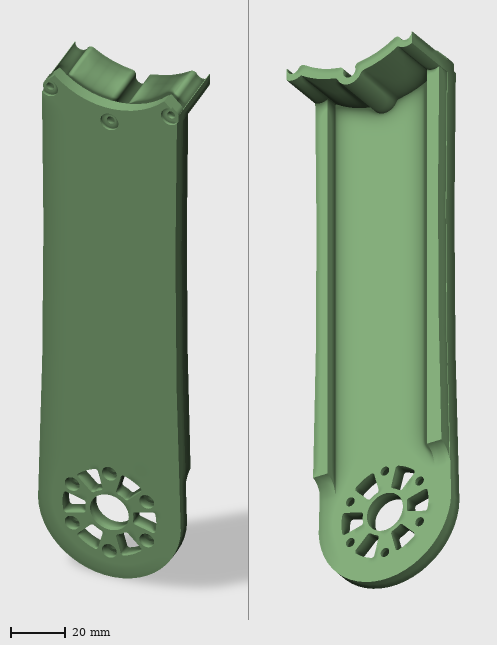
import cadquery as cq
import math

HUB_RADIUS = 28.5
LENGTH = 217.4
DEPTH = 31.0
PLATE_THICKNESS = 5.9
RIB_BACK = 11.3
PEAK_Z = LENGTH - HUB_RADIUS

SIDE_START_Z = 2.5
SIDE_START_X = math.sqrt(HUB_RADIUS**2 - SIDE_START_Z**2)
WAIST_X = 26.3
WAIST_Z = 113.0
SIDE_TOP_X = 27.0
SIDE_TOP_Z = 182.8

CORNER_SCREW_X = 24.1
CORNER_SCREW_Z = 182.5
MIDDLE_SCREW_Z = 173.9
CORNER_RADIUS = SIDE_TOP_X - CORNER_SCREW_X
SHOULDER_OFFSET = CORNER_RADIUS * math.sqrt(0.5)
SHOULDER_X = CORNER_SCREW_X + SHOULDER_OFFSET
SHOULDER_Z = CORNER_SCREW_Z + SHOULDER_OFFSET
SHOULDER_APEX_Z = SHOULDER_X + SHOULDER_Z
SCREW_DIAMETER = 3.0
SCREW_HEAD_DIAMETER = 7.2
SCREW_HEAD_DEPTH = 1.3

SADDLE_Z = 210.8
PLATE_ARC_RADIUS = math.hypot(SHOULDER_APEX_Z - PEAK_Z, SADDLE_Z - PEAK_Z)
STEP_HEIGHT = 0.7
STEP_Y = 4.5
SEAT_RADIUS = 34.5
SADDLE_OUTER_RADIUS = 38.7
SCREW_BOSS_RADIUS = 5.5
BOSS_FILLET = 2.2
CHANNEL_RADIUS = 2.5
LIP_RADIUS = 1.7

RIB_WIDTH = 5.0
RIB_INSET = 0.2
RIB_TOP_Z = 178.2
RUN_OUT_RADIUS = 7.0
RUN_OUT_Z = 13.0

HUB_BORE_DIAMETER = 15.5
HUB_HOLE_COUNT = 6
HUB_HOLE_CIRCLE_RADIUS = 17.2
HUB_HOLE_DIAMETER = 3.7
HUB_HEAD_DIAMETER = 5.9
HUB_HEAD_DEPTH = 4.1
WINDOW_INNER_RADIUS = 9.5
WINDOW_OUTER_RADIUS = 18.7
WINDOW_HALF_ANGLE = 15.0
WINDOW_FILLET = 1.0

TOP_SCREWS = [
    (-CORNER_SCREW_X, CORNER_SCREW_Z),
    (0, MIDDLE_SCREW_Z),
    (CORNER_SCREW_X, CORNER_SCREW_Z),
]


def plane_at(y):
    """XZ plane at depth y, facing -Y; negative extrusions from it run toward +Y."""
    return cq.Workplane(cq.Plane(origin=(0, y, 0), xDir=(1, 0, 0), normal=(0, -1, 0)))


def cylinder(x, z, radius, y_start, y_end):
    return plane_at(y_start).center(x, z).circle(radius).extrude(y_start - y_end)


def block(x_start, x_end, y_start, y_end, z_start, z_end):
    size = (x_end - x_start, y_end - y_start, z_end - z_start)
    return cq.Workplane("XY").box(*size, centered=False).translate((x_start, y_start, z_start))


def arm_outline(y_start, y_end, side_inset=0):
    """Arm silhouette: round hub, waisted sides and a flat top at the corner screws."""
    hub_x = SIDE_START_X - side_inset
    waist_x = WAIST_X - side_inset
    top_x = SIDE_TOP_X - side_inset
    return (
        plane_at(y_start)
        .moveTo(-top_x, SIDE_TOP_Z)
        .threePointArc((-waist_x, WAIST_Z), (-hub_x, SIDE_START_Z))
        .threePointArc((0, -HUB_RADIUS), (hub_x, SIDE_START_Z))
        .threePointArc((waist_x, WAIST_Z), (top_x, SIDE_TOP_Z))
        .close()
        .extrude(y_start - y_end)
    )


def plate():
    """Front plate with 45 degree shoulders, rounded corners and the stepped saddle arc."""
    roof = (
        plane_at(0)
        .polyline([
            (-CORNER_SCREW_X, MIDDLE_SCREW_Z),
            (-CORNER_SCREW_X, CORNER_SCREW_Z),
            (-SHOULDER_X, SHOULDER_Z),
            (0, SHOULDER_APEX_Z),
            (SHOULDER_X, SHOULDER_Z),
            (CORNER_SCREW_X, CORNER_SCREW_Z),
            (CORNER_SCREW_X, MIDDLE_SCREW_Z),
        ])
        .close()
        .extrude(-PLATE_THICKNESS)
    )
    body = arm_outline(0, PLATE_THICKNESS).union(roof)
    for side in (-1, 1):
        corner_x = side * CORNER_SCREW_X
        body = body.union(cylinder(corner_x, CORNER_SCREW_Z, CORNER_RADIUS, 0, PLATE_THICKNESS))
    body = body.cut(cylinder(0, SADDLE_Z, PLATE_ARC_RADIUS, 0, PLATE_THICKNESS))
    return body.cut(cylinder(0, SADDLE_Z, PLATE_ARC_RADIUS + STEP_HEIGHT, STEP_Y, PLATE_THICKNESS))


def side_ribs():
    """Stiffening ribs just inside the plate's sides, fading into the plate above the hub."""
    slab = arm_outline(PLATE_THICKNESS, RIB_BACK, RIB_INSET)
    slab = slab.intersect(
        block(-HUB_RADIUS, HUB_RADIUS, PLATE_THICKNESS, RIB_BACK, RUN_OUT_Z, RIB_TOP_Z)
    )
    inner_x = WAIST_X - RIB_WIDTH
    slab = slab.cut(block(-inner_x, inner_x, PLATE_THICKNESS, RIB_BACK, RUN_OUT_Z, RIB_TOP_Z))
    run_out = (
        cq.Workplane("YZ", origin=(-HUB_RADIUS, 0, 0))
        .center(PLATE_THICKNESS + RUN_OUT_RADIUS, RUN_OUT_Z)
        .circle(RUN_OUT_RADIUS)
        .extrude(2 * HUB_RADIUS)
    )
    return slab.cut(run_out)


def channel_cutter(x, z):
    """Round screw channel opening into the seat between two lips tangent to both."""
    lip_to_axis = SEAT_RADIUS + LIP_RADIUS
    lip_to_screw = CHANNEL_RADIUS + LIP_RADIUS
    screw_to_axis = math.hypot(x, SADDLE_Z - z)
    lip_drop = (lip_to_axis**2 + screw_to_axis**2 - lip_to_screw**2) / (2 * screw_to_axis)
    lip_offset = math.sqrt(lip_to_axis**2 - lip_drop**2)

    screw_z = SADDLE_Z - screw_to_axis
    lip_z = SADDLE_Z - lip_drop
    throat = (
        plane_at(PLATE_THICKNESS)
        .polyline([(0, screw_z), (lip_offset, lip_z), (0, SADDLE_Z), (-lip_offset, lip_z)])
        .close()
        .extrude(PLATE_THICKNESS - DEPTH)
    )
    for lip_x in (-lip_offset, lip_offset):
        throat = throat.cut(cylinder(lip_x, lip_z, LIP_RADIUS, PLATE_THICKNESS, DEPTH))
    channel = throat.union(cylinder(0, screw_z, CHANNEL_RADIUS, PLATE_THICKNESS, DEPTH))
    swing = math.degrees(math.atan2(x, SADDLE_Z - z))
    return channel.rotate((0, 0, SADDLE_Z), (0, 1, SADDLE_Z), -swing)


def blend_middle_boss(body):
    """Round the two inner corners where the middle boss meets the saddle's underside."""
    drop = SADDLE_Z - MIDDLE_SCREW_Z
    corner_drop = (SADDLE_OUTER_RADIUS**2 + drop**2 - SCREW_BOSS_RADIUS**2) / (2 * drop)
    corner_x = math.sqrt(SADDLE_OUTER_RADIUS**2 - corner_drop**2)
    middle_y = (PLATE_THICKNESS + DEPTH) / 2
    for x in (-corner_x, corner_x):
        corner = cq.selectors.NearestToPointSelector((x, middle_y, SADDLE_Z - corner_drop))
        body = body.edges("|Y").edges(corner).fillet(BOSS_FILLET)
    return body


def flange():
    """Saddle carrying the tube, with screw bosses below and screw channels along its seat."""
    body = cylinder(0, SADDLE_Z, SADDLE_OUTER_RADIUS, PLATE_THICKNESS, DEPTH)
    for x, z in TOP_SCREWS:
        body = body.union(cylinder(x, z, SCREW_BOSS_RADIUS, PLATE_THICKNESS, DEPTH))
    body = body.intersect(arm_outline(PLATE_THICKNESS, DEPTH))
    body = body.cut(cylinder(0, SADDLE_Z, SEAT_RADIUS, PLATE_THICKNESS, DEPTH))
    for x, z in TOP_SCREWS:
        body = body.cut(channel_cutter(x, z))
    return blend_middle_boss(body)


def screw_hole(x, z, diameter, head_diameter, head_depth):
    through = cylinder(x, z, diameter / 2, 0, PLATE_THICKNESS)
    return through.union(cylinder(x, z, head_diameter / 2, 0, head_depth))


def window():
    """Wedge-shaped opening on the +X side of the hub."""
    def polar(radius, degrees):
        angle = math.radians(degrees)
        return (radius * math.cos(angle), radius * math.sin(angle))

    return (
        plane_at(0)
        .moveTo(*polar(WINDOW_INNER_RADIUS, -WINDOW_HALF_ANGLE))
        .lineTo(*polar(WINDOW_OUTER_RADIUS, -WINDOW_HALF_ANGLE))
        .threePointArc((WINDOW_OUTER_RADIUS, 0), polar(WINDOW_OUTER_RADIUS, WINDOW_HALF_ANGLE))
        .lineTo(*polar(WINDOW_INNER_RADIUS, WINDOW_HALF_ANGLE))
        .threePointArc((WINDOW_INNER_RADIUS, 0), polar(WINDOW_INNER_RADIUS, -WINDOW_HALF_ANGLE))
        .close()
        .extrude(-PLATE_THICKNESS)
        .edges("|Y")
        .fillet(WINDOW_FILLET)
    )


def hub_cutters():
    """Central bore, tapered windows and counterbored screw holes alternating around the hub."""
    cutters = cylinder(0, 0, HUB_BORE_DIAMETER / 2, 0, PLATE_THICKNESS)
    hole = screw_hole(0, HUB_HOLE_CIRCLE_RADIUS, HUB_HOLE_DIAMETER, HUB_HEAD_DIAMETER, HUB_HEAD_DEPTH)
    opening = window()
    for index in range(HUB_HOLE_COUNT):
        turn = 360 / HUB_HOLE_COUNT * index
        for shape in (opening, hole):
            cutters = cutters.union(shape.rotate((0, 0, 0), (0, 1, 0), turn))
    return cutters


result = plate().union(side_ribs()).union(flange()).cut(hub_cutters())
for screw_x, screw_z in TOP_SCREWS:
    result = result.cut(
        screw_hole(screw_x, screw_z, SCREW_DIAMETER, SCREW_HEAD_DIAMETER, SCREW_HEAD_DEPTH)
    )